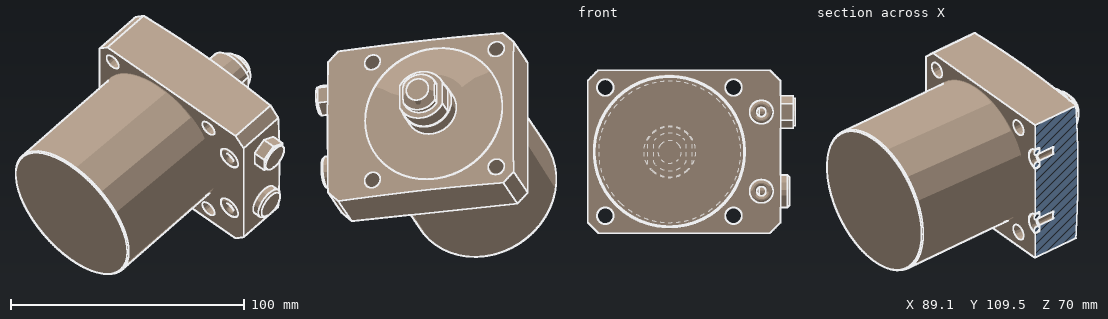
import cadquery as cq
import math


barrel_radius = 32.5
barrel_length = 57.5
edge_break = 0.5

flange_left = 35.0
flange_width = 82.7
flange_height = 70.0
flange_chamfer = 4.6
flange_right = flange_width - flange_left
back_slope_angle = 5.0
cap_base_radius = 30.4
cap_foot = 24.7
cap_skirt_height = 0.4
cap_top_radius = 16.4
cap_top = 29.0

hole_offset = 27.5
hole_diameter = 7.0

collar_diameter = 22.2
collar_top = 37.0
neck_diameter = 21.6
neck_flats = 19.0
neck_top = 46.0
tip_diameter = 16.4
tip_flats = 14.0
tip_top = 52.0
tip_bevel_height = 2.8
tip_bevel_inset = 3.3

port_x = 39.4
port_z = 17.0
ring_outer_radius = 5.0
port_radius = 2.0
ring_tube_radius = (ring_outer_radius - port_radius) / 2
ring_major_radius = (ring_outer_radius + port_radius) / 2
ring_protrusion = 0.5
ring_centre_depth = ring_tube_radius - ring_protrusion
ring_seat_depth = ring_centre_depth + ring_tube_radius
plug_y = 13.1
plug_diameter = 14.0
shank_radius = 3.3
shank_end_x = port_x - 0.9
hex_length = 5.5
hex_boss_length = 0.9
hex_boss_diameter = 11.9
round_plug_length = 3.9
round_plug_chamfer = 1.0


def cylinder_y(radius, start, end, x=0.0, z=0.0):
    """Cylinder along +Y from start to end."""
    return cq.Workplane("XZ", origin=(x, start, z)).circle(radius).extrude(start - end)


def make_barrel():
    barrel = cylinder_y(barrel_radius, -barrel_length, 0).faces("<Y").chamfer(edge_break)
    fillet_ring = (
        cq.Workplane("XY")
        .moveTo(barrel_radius, -edge_break)
        .radiusArc((barrel_radius + edge_break, 0), edge_break)
        .lineTo(barrel_radius - edge_break, 0)
        .lineTo(barrel_radius - edge_break, -edge_break)
        .close()
        .revolve(360, (0, 0, 0), (0, 1, 0))
    )
    return barrel.union(fillet_ring)


def make_flange():
    block = (
        cq.Workplane("XY")
        .box(flange_width, cap_top, flange_height, centered=(False, False, True))
        .translate((-flange_left, 0, 0))
        .edges("|Y")
        .chamfer(flange_chamfer)
    )
    envelope_radius = math.hypot(flange_right, flange_height / 2)
    back_drop = (envelope_radius - cap_base_radius) * math.tan(math.radians(back_slope_angle))
    envelope = (
        cq.Workplane("XY")
        .polyline([
            (0, 0),
            (envelope_radius, 0),
            (envelope_radius, cap_foot - back_drop),
            (cap_base_radius, cap_foot),
            (cap_base_radius, cap_foot + cap_skirt_height),
            (cap_top_radius, cap_top),
            (0, cap_top),
        ])
        .close()
        .revolve(360, (0, 0, 0), (0, 1, 0))
    )
    flange = block.intersect(envelope)
    for x in (-hole_offset, hole_offset):
        for z in (-hole_offset, hole_offset):
            flange = flange.cut(cylinder_y(hole_diameter / 2, 0, cap_top, x, z))
    return flange


def make_port(z):
    """Stepped port: a seat for the O-ring and a bore that ends on the plug shank."""
    seat = cylinder_y(ring_outer_radius, 0, ring_seat_depth, port_x, z)
    bore = cylinder_y(port_radius, 0, plug_y, port_x, z)
    shank = cq.Workplane("YZ", origin=(shank_end_x, plug_y, z)).circle(shank_radius).extrude(plug_diameter)
    return seat.union(bore.cut(shank))


def make_hex_plug():
    face = cq.Workplane("YZ", origin=(flange_right, plug_y, port_z))
    hexagon = face.transformed(rotate=(0, 0, 90)).polygon(6, plug_diameter).extrude(hex_length)
    return hexagon.union(face.circle(hex_boss_diameter / 2).extrude(hex_length + hex_boss_length))


def make_round_plug():
    face = cq.Workplane("YZ", origin=(flange_right, plug_y, -port_z))
    return face.circle(plug_diameter / 2).extrude(round_plug_length).faces(">X").chamfer(round_plug_chamfer)


def make_housing():
    housing = make_flange().union(make_barrel())
    for z in (-port_z, port_z):
        housing = housing.cut(make_port(z))
    return housing.union(make_hex_plug()).union(make_round_plug())


def cut_to_flats(stage, width):
    """Trim a rod stage to two flats facing -X and +X."""
    return stage.intersect(cq.Workplane("XY").box(width, 4 * tip_top, 2 * collar_diameter))


def make_rod():
    collar = cylinder_y(collar_diameter / 2, cap_top, collar_top)
    neck = cut_to_flats(cylinder_y(neck_diameter / 2, collar_top, neck_top), neck_flats)
    tip = cylinder_y(tip_diameter / 2, neck_top, tip_top)
    tip = tip.faces(">Y").chamfer(tip_bevel_height, tip_bevel_inset)
    return collar.union(neck).union(cut_to_flats(tip, tip_flats))


def make_o_ring(z):
    return cq.Solid.makeTorus(
        ring_major_radius,
        ring_tube_radius,
        cq.Vector(port_x, ring_centre_depth, z),
        cq.Vector(0, 1, 0),
    )


housing = make_housing()
rod = make_rod()
o_rings = [make_o_ring(z) for z in (-port_z, port_z)]

result = cq.Compound.makeCompound([housing.val(), rod.val(), *o_rings])